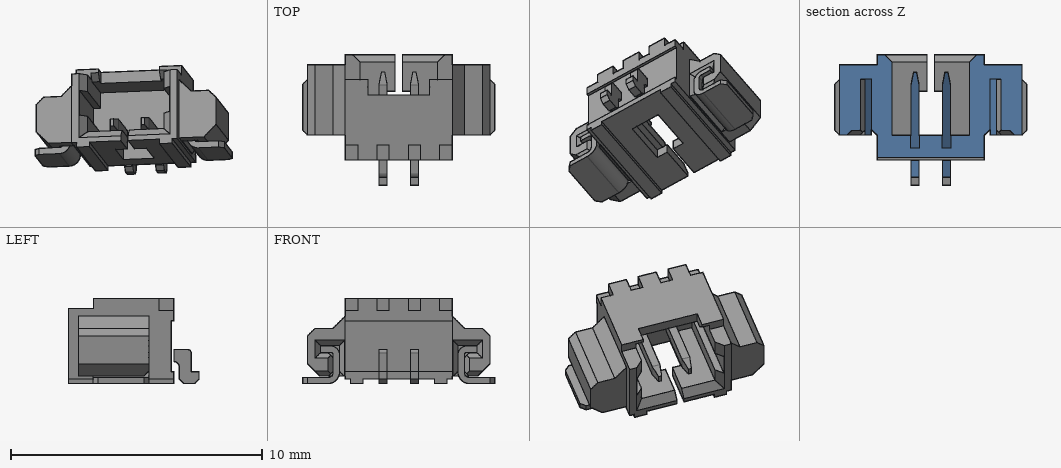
import cadquery as cq

housing_width = 4.27
housing_length = 4.2
housing_top = 3.4
housing_bottom = 0.18
foot_width = 0.51
foot_outer_x = 1.93
step_top = 3.0
step_length = 0.995
half_width = housing_width / 2
roof_edge_y = housing_length - step_length

rear_recess_depth = 0.1
rear_recess_bottom = 0.48
rear_recess_top = 2.495

notch_width = 0.49
corner_notch_width = 0.51
notch_length = 0.6
notch_depth = 0.48

cavity_width = 3.075
cavity_rear_y = 0.995
cavity_floor = 0.68
cavity_roof = 2.945
mouth_chamfer = 0.3
roof_notch_width = 2.46
roof_notch_length = 0.605
keyway_bottom = 1.31
keyway_top = 2.32
keyway_depth = 0.28

floor_slot_width = 0.29
floor_window_end_y = 2.74

pitch = 1.25
contact_width = 0.33
pin_top = 1.36
pin_bottom = 0.87
pin_start_y = 0.5
pin_end_y = 3.5
pin_taper_length = 0.505
pin_taper = 0.1
tail_length = 1.0
tail_stem_inner = 0.21
tail_stem_outer = 0.69
tail_foot_top = 0.48
tail_chamfer = 0.18
tail_shoulder_radius = 0.14

overall_width = 7.65
tab_rear_y = 0.995
tab_front_y = 3.21
tab_thickness = 0.25
tab_inner_x = 2.36
tab_arm_end_x = 3.12
tab_top = 1.5
tab_lower_radius = 0.2
tab_upper_radius = 0.1
tab_corner = 0.2
tab_outer_x = tab_inner_x + tab_thickness

ear_rear_y = tab_rear_y
ear_front_y = 3.8
ear_outer_x = 3.63
ear_bottom = 0.3
ear_top = 2.195
ear_upper_chamfer = 0.3
ear_lower_chamfer = 0.49
ear_gusset = 0.49
channel_clearance = 0.02
channel_bevel = 0.21
channel_corner = 0.19
channel_roof = tab_top + channel_clearance
channel_ledge = tab_top - tab_thickness - channel_clearance

cut_margin = 0.38
sides = (-1, 1)


def block(x_range, y_range, z_range):
    """Box between two x, two y and two z values."""
    size = [end - start for start, end in (x_range, y_range, z_range)]
    corner = (x_range[0], y_range[0], z_range[0])
    return cq.Workplane("XY").box(*size, centered=False).translate(corner)


def prism_along_y(points, y_start, y_end):
    """Polygon of (x, z) points extruded from y_start to y_end."""
    plane = cq.Workplane("XZ", origin=(0, y_start, 0))
    return plane.polyline(points).close().extrude(y_start - y_end)


def prism_along_x(points, width):
    """Polygon of (y, z) points extruded evenly about x = 0."""
    return cq.Workplane("YZ").polyline(points).close().extrude(width / 2, both=True)


def on_side(shape, side):
    """Shape made for the +X side, or its mirror image for the -X side."""
    return shape if side > 0 else shape.mirror("YZ")


def make_housing_block():
    """Stepped block with two feet, a rear recess and rear edge notches."""
    profile = [
        (0, housing_bottom),
        (0, rear_recess_bottom),
        (rear_recess_depth, rear_recess_bottom),
        (rear_recess_depth, rear_recess_top),
        (0, rear_recess_top),
        (0, housing_top),
        (roof_edge_y, housing_top),
        (roof_edge_y, step_top),
        (housing_length, step_top),
        (housing_length, housing_bottom),
    ]
    body = prism_along_x(profile, housing_width)
    foot = block(
        (foot_outer_x - foot_width, foot_outer_x), (0, housing_length), (0, housing_bottom)
    )
    middle_notch_end = (pitch + notch_width) / 2
    notch_x_ranges = [
        (middle_notch_end - notch_width, middle_notch_end),
        (half_width - corner_notch_width, half_width),
    ]
    for side in sides:
        body = body.union(on_side(foot, side))
        for x_range in notch_x_ranges:
            notch = block(x_range, (0, notch_length), (housing_top - notch_depth, housing_top))
            body = body.cut(on_side(notch, side))
    return body


def make_cavity():
    """Volume of the mating cavity with its chamfered mouth and keyways."""
    half_cavity = cavity_width / 2
    chamfer_y = housing_length - mouth_chamfer
    end_y = housing_length + cut_margin
    x_range = (-half_cavity, half_cavity)
    cavity = block(x_range, (cavity_rear_y, housing_length), (cavity_floor, cavity_roof))

    cavity = cavity.union(
        block(x_range, (roof_edge_y, end_y), (cavity_floor, housing_top))
    )

    half_notch = roof_notch_width / 2
    cavity = cavity.union(
        block(
            (-half_notch, half_notch),
            (roof_edge_y - roof_notch_length, roof_edge_y),
            (cavity_roof, housing_top),
        )
    )

    roof_chamfer = [
        (roof_edge_y - mouth_chamfer, cavity_roof),
        (roof_edge_y, cavity_roof),
        (roof_edge_y, cavity_roof + mouth_chamfer),
    ]
    cavity = cavity.union(prism_along_x(roof_chamfer, cavity_width))

    flare = (
        cq.Workplane("XZ", origin=(0, chamfer_y, 0))
        .polyline(mouth_outline(0))
        .close()
        .workplane(offset=-mouth_chamfer)
        .polyline(mouth_outline(mouth_chamfer))
        .close()
        .loft(ruled=True)
    )
    cavity = cavity.union(flare)

    keyway_reach = half_cavity + keyway_depth
    return cavity.union(
        block(
            (-keyway_reach, keyway_reach),
            (cavity_rear_y, housing_length),
            (keyway_bottom, keyway_top),
        )
    )


def mouth_outline(spread):
    """Mouth opening in x and z, widened by spread at both sides and the floor."""
    half_mouth = cavity_width / 2 + spread
    floor = cavity_floor - spread
    return [
        (-half_mouth, floor),
        (half_mouth, floor),
        (half_mouth, housing_top),
        (-half_mouth, housing_top),
    ]


def make_floor_openings():
    """Window between the contacts and the slot from it to the mouth."""
    z_range = (0, cavity_floor)
    window = block((-pitch / 2, pitch / 2), (cavity_rear_y, floor_window_end_y), z_range)
    half_slot = floor_slot_width / 2
    slot = block((-half_slot, half_slot), (floor_window_end_y, housing_length), z_range)
    return window.union(slot)


def channel_outline(spread):
    """Hook-shaped space round a +X tab, widened by spread on every wall."""
    below = ear_bottom - cut_margin
    beyond = ear_outer_x + cut_margin
    return [
        (tab_inner_x - spread, below),
        (tab_inner_x - spread, channel_roof + spread),
        (tab_arm_end_x + spread, channel_roof + spread),
        (tab_arm_end_x + spread, channel_ledge - spread),
        (tab_outer_x + spread, channel_ledge - spread),
        (tab_outer_x + spread, ear_bottom + spread),
        (beyond, ear_bottom + spread),
        (beyond, below),
    ]


def make_channel():
    """Blind tab channel of the +X ear, bevelled at its rear opening."""
    opening = (
        cq.Workplane("XZ", origin=(0, ear_rear_y, 0))
        .polyline(channel_outline(channel_bevel))
        .close()
        .workplane(offset=-channel_bevel)
        .polyline(channel_outline(0))
        .close()
        .loft(ruled=True)
    )
    channel = opening.union(prism_along_y(channel_outline(0), ear_rear_y, tab_front_y))

    corner_cuts = [
        (tab_outer_x, channel_ledge, 1, -1),
        (tab_outer_x, ear_bottom, 1, 1),
        (tab_inner_x, ear_bottom, -1, 1),
    ]
    for corner_x, corner_z, x_direction, z_direction in corner_cuts:
        triangle = [
            (corner_x, corner_z),
            (corner_x + x_direction * channel_corner, corner_z),
            (corner_x, corner_z + z_direction * channel_corner),
        ]
        channel = channel.union(prism_along_y(triangle, ear_rear_y, tab_front_y))
    return channel


def make_ear():
    """Ear on the +X side of the housing, with the channel for its tab."""
    profile = [
        (half_width, ear_bottom),
        (half_width, ear_top + ear_gusset),
        (half_width + ear_gusset, ear_top),
        (ear_outer_x - ear_upper_chamfer, ear_top),
        (ear_outer_x, ear_top - ear_upper_chamfer),
        (ear_outer_x, ear_bottom + ear_lower_chamfer),
        (ear_outer_x - ear_lower_chamfer, ear_bottom),
    ]
    return prism_along_y(profile, ear_rear_y, ear_front_y).cut(make_channel())


def make_pin(center_x):
    """Straight pin seated in the rear wall, tapered on four sides at its tip."""
    taper_y = pin_end_y - pin_taper_length
    height = pin_top - pin_bottom
    center_z = (pin_top + pin_bottom) / 2
    shank = (
        cq.Workplane("XZ", origin=(center_x, pin_start_y, center_z))
        .rect(contact_width, height)
        .extrude(pin_start_y - taper_y)
    )
    tip = (
        cq.Workplane("XZ", origin=(center_x, taper_y, center_z))
        .rect(contact_width, height)
        .workplane(offset=-pin_taper_length)
        .rect(contact_width - 2 * pin_taper, height - 2 * pin_taper)
        .loft(ruled=True)
    )
    return shank.union(tip)


def make_tail(center_x):
    """Solder tail behind the housing: head, stem and chamfered foot."""
    outline = (
        cq.Workplane("YZ", origin=(center_x, 0, 0))
        .moveTo(0, pin_bottom)
        .lineTo(0, pin_top)
        .lineTo(tail_shoulder_radius - tail_stem_outer, pin_top)
        .tangentArcPoint((-tail_stem_outer, pin_top - tail_shoulder_radius), relative=False)
        .lineTo(-tail_stem_outer, tail_foot_top)
        .lineTo(-tail_length, tail_foot_top)
        .lineTo(-tail_length, tail_chamfer)
        .lineTo(tail_chamfer - tail_length, 0)
        .lineTo(-tail_stem_inner - tail_chamfer, 0)
        .lineTo(-tail_stem_inner, tail_chamfer)
        .lineTo(-tail_stem_inner, pin_bottom - tail_stem_inner)
        .tangentArcPoint((0, pin_bottom), relative=False)
        .close()
    )
    return outline.extrude(contact_width / 2, both=True)


def make_tab():
    """Solder tab of the +X side: foot, upright and a hooked arm, bent from one strip."""
    lower_bend = tab_lower_radius + tab_thickness
    upper_bend = tab_upper_radius + tab_thickness
    arm_bottom = tab_top - tab_thickness
    foot_end_x = overall_width / 2
    strip = (
        cq.Workplane("XZ", origin=(0, tab_rear_y, 0))
        .moveTo(foot_end_x, 0)
        .lineTo(tab_inner_x + lower_bend, 0)
        .tangentArcPoint((tab_inner_x, lower_bend), relative=False)
        .lineTo(tab_inner_x, tab_top - upper_bend)
        .tangentArcPoint((tab_inner_x + upper_bend, tab_top), relative=False)
        .lineTo(tab_arm_end_x, tab_top)
        .lineTo(tab_arm_end_x, arm_bottom)
        .lineTo(tab_outer_x + tab_upper_radius, arm_bottom)
        .tangentArcPoint((tab_outer_x, arm_bottom - tab_upper_radius), relative=False)
        .lineTo(tab_outer_x, tab_thickness + tab_lower_radius)
        .tangentArcPoint((tab_outer_x + tab_lower_radius, tab_thickness), relative=False)
        .lineTo(foot_end_x, tab_thickness)
        .close()
        .extrude(tab_rear_y - tab_front_y)
    )
    return strip.edges("|Z and >X").chamfer(tab_corner)


pins = [make_pin(side * pitch / 2) for side in sides]
tails = [make_tail(side * pitch / 2) for side in sides]
tabs = [on_side(make_tab(), side) for side in sides]

housing = make_housing_block().cut(make_cavity()).cut(make_floor_openings())
for side in sides:
    housing = housing.union(on_side(make_ear(), side))
for pin in pins:
    housing = housing.cut(pin)

contact_solids = [contact.val() for contact in pins + tails]
tab_solids = [tab.val() for tab in tabs]
result = cq.Compound.makeCompound([housing.val(), *contact_solids, *tab_solids])